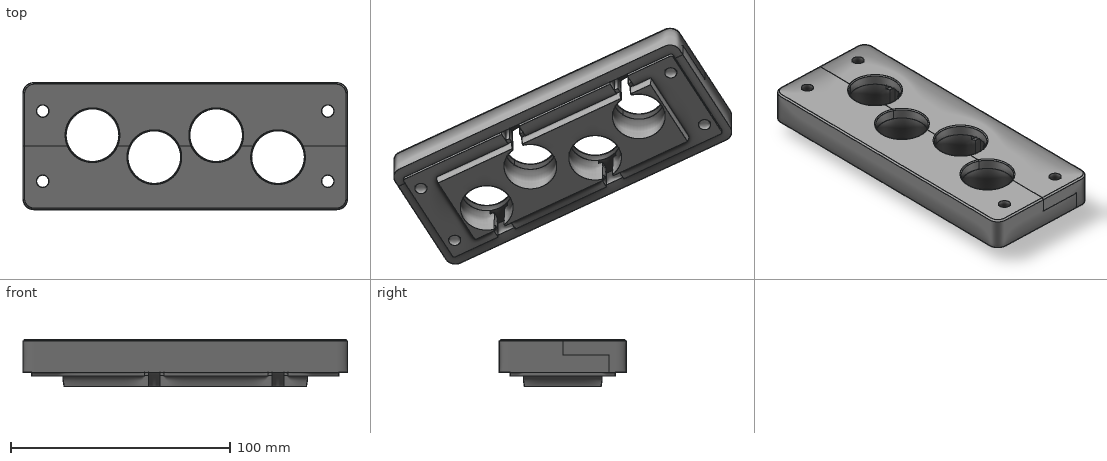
import cadquery as cq
import math


FRAME_LENGTH = 148.0
FRAME_WIDTH = 58.0
FRAME_HEIGHT = 15.0
FRAME_CORNER_RADIUS = 5.0
TOP_CHAMFER = 0.75
COVER_THICKNESS = 5.0
POCKET_HEIGHT = FRAME_HEIGHT - COVER_THICKNESS

TONGUE_REACH = 21.0
TONGUE_HEIGHT = 8.0

BLOCK_LENGTH = 140.0
BLOCK_WIDTH = 48.0
BLOCK_CORNER_RADIUS = 1.0
BLOCK_PROTRUSION = 1.7
FOOT_LENGTH = 111.5
FOOT_WIDTH = 36.0
FOOT_STRAIGHT_HEIGHT = 1.8
FOOT_HEIGHT = 4.8
FOOT_TAPER = 0.5
BLOCK_BOTTOM = -BLOCK_PROTRUSION
FOOT_BOTTOM = BLOCK_BOTTOM - FOOT_HEIGHT

CABLE_HOLE_DIAMETER = 24.0
CABLE_HOLE_CHAMFER = 0.5
CABLE_HOLE_PITCH = 28.2
CABLE_HOLE_OFFSET = 5.0
CABLE_HOLE_COUNT = 4
FIRST_HOLE_X = -CABLE_HOLE_PITCH * (CABLE_HOLE_COUNT - 1) / 2
CABLE_HOLES = [
    (FIRST_HOLE_X + i * CABLE_HOLE_PITCH, CABLE_HOLE_OFFSET * (-1) ** i)
    for i in range(CABLE_HOLE_COUNT)
]

BARREL_BOTTOM = -1.0
BARREL_HEIGHT = POCKET_HEIGHT - BARREL_BOTTOM
BARREL_BULGE = 0.35

SLIT_WIDTH = 5.3
SLIT_TOP = TONGUE_HEIGHT
NOTCH_WIDTH = 9.0
NOTCH_WEB_FACE = 20.0
NOTCH_WEB_BOTTOM = -1.3

SCREW_HOLE_DIAMETER = 5.5
SCREW_SPACING_X = 130.0
SCREW_SPACING_Y = 32.0


def box_between(x_range, y_range, z_range):
    """Axis-aligned box between two limits on each axis."""
    (x0, x1), (y0, y1), (z0, z1) = x_range, y_range, z_range
    return cq.Workplane("XY").box(x1 - x0, y1 - y0, z1 - z0, centered=False).translate((x0, y0, z0))


def rounded_plate(length, width, radius, bottom, top):
    """Rectangular plate with rounded vertical edges."""
    plate = cq.Workplane("XY").workplane(offset=bottom).rect(length, width).extrude(top - bottom)
    return plate.edges("|Z").fillet(radius)


def drill(body, places, diameter):
    """Cut round holes right through a body."""
    tools = (
        cq.Workplane("XY").workplane(offset=FOOT_BOTTOM).pushPoints(places)
        .circle(diameter / 2).extrude(FRAME_HEIGHT - FOOT_BOTTOM)
    )
    return body.cut(tools)


def screw_places():
    """Centres of the four mounting screw holes."""
    return [(sx * SCREW_SPACING_X / 2, sy * SCREW_SPACING_Y / 2) for sx in (-1, 1) for sy in (-1, 1)]


def make_frame():
    """Complete frame before it is split into halves."""
    frame = rounded_plate(FRAME_LENGTH, FRAME_WIDTH, FRAME_CORNER_RADIUS, 0, FRAME_HEIGHT)
    frame = frame.faces(">Z").chamfer(TOP_CHAMFER)
    frame = frame.cut(rounded_plate(BLOCK_LENGTH, BLOCK_WIDTH, BLOCK_CORNER_RADIUS, 0, POCKET_HEIGHT))
    frame = drill(frame, CABLE_HOLES, CABLE_HOLE_DIAMETER)
    rim = (
        cq.Workplane("XY").workplane(offset=FRAME_HEIGHT - CABLE_HOLE_CHAMFER).pushPoints(CABLE_HOLES)
        .circle(CABLE_HOLE_DIAMETER / 2).extrude(CABLE_HOLE_CHAMFER, taper=-45)
    )
    return drill(frame.cut(rim), screw_places(), SCREW_HOLE_DIAMETER)


def front_half_envelope():
    """Space taken by the front half: everything in front of Y = 0, plus the tongue."""
    x_range = (-FRAME_LENGTH / 2, FRAME_LENGTH / 2)
    front = box_between(x_range, (-FRAME_WIDTH / 2, 0), (0, FRAME_HEIGHT))
    return front.union(box_between(x_range, (0, TONGUE_REACH), (0, TONGUE_HEIGHT)))


def make_foot():
    """Foot below the flange: a straight band, then a slight taper."""
    straight = (
        cq.Workplane("XY").workplane(offset=BLOCK_BOTTOM).rect(FOOT_LENGTH, FOOT_WIDTH)
        .extrude(-FOOT_STRAIGHT_HEIGHT)
    )
    taper_height = FOOT_HEIGHT - FOOT_STRAIGHT_HEIGHT
    taper_angle = math.degrees(math.atan2(FOOT_TAPER, taper_height))
    return straight.faces("<Z").wires().toPending().workplane().extrude(taper_height, taper=taper_angle)


def make_barrel():
    """Barrel-shaped cutter on the Z axis, as wide as the cable hole at both ends."""
    radius = CABLE_HOLE_DIAMETER / 2
    middle = BARREL_BOTTOM + BARREL_HEIGHT / 2
    return (
        cq.Workplane("XZ").moveTo(0, BARREL_BOTTOM).lineTo(radius, BARREL_BOTTOM)
        .threePointArc((radius + BARREL_BULGE, middle), (radius, POCKET_HEIGHT))
        .lineTo(0, POCKET_HEIGHT).close().revolve(360, (0, 0, 0), (0, 1, 0))
    )


def slit_cut(x, side):
    """Slit and notch from a cable hole at x out to the long side given by the sign `side`."""
    half_slit = SLIT_WIDTH / 2
    half_notch = NOTCH_WIDTH / 2
    inner = CABLE_HOLE_OFFSET
    outer = BLOCK_WIDTH / 2
    slit_x = (x - half_slit, x + half_slit)
    notch_x = (x - half_notch, x + half_notch)
    slit = box_between(slit_x, (inner, outer), (FOOT_BOTTOM, SLIT_TOP))
    notch = box_between(notch_x, (NOTCH_WEB_FACE, outer), (BLOCK_BOTTOM, POCKET_HEIGHT))
    above_web = box_between(notch_x, (inner, outer), (SLIT_TOP, POCKET_HEIGHT))
    below_web = box_between(notch_x, (FOOT_WIDTH / 2, outer), (BLOCK_BOTTOM, NOTCH_WEB_BOTTOM))
    cut = slit.union(notch).union(above_web).union(below_web)
    return cut if side > 0 else cut.mirror("XZ")


def make_grommet():
    """Grommet block with barrelled cable holes, slits and screw holes."""
    block = rounded_plate(BLOCK_LENGTH, BLOCK_WIDTH, BLOCK_CORNER_RADIUS, BLOCK_BOTTOM, POCKET_HEIGHT)
    block = block.union(make_foot())
    block = drill(block, CABLE_HOLES, CABLE_HOLE_DIAMETER)
    barrel = make_barrel()
    for x, y in CABLE_HOLES:
        block = block.cut(barrel.translate((x, y, 0)))
        block = block.cut(slit_cut(x, y))
    return drill(block, screw_places(), SCREW_HOLE_DIAMETER)


frame = make_frame()
front_half = frame.intersect(front_half_envelope())
back_half = frame.cut(front_half_envelope())
grommet = make_grommet()

result = cq.Compound.makeCompound([front_half.val(), back_half.val(), grommet.val()])